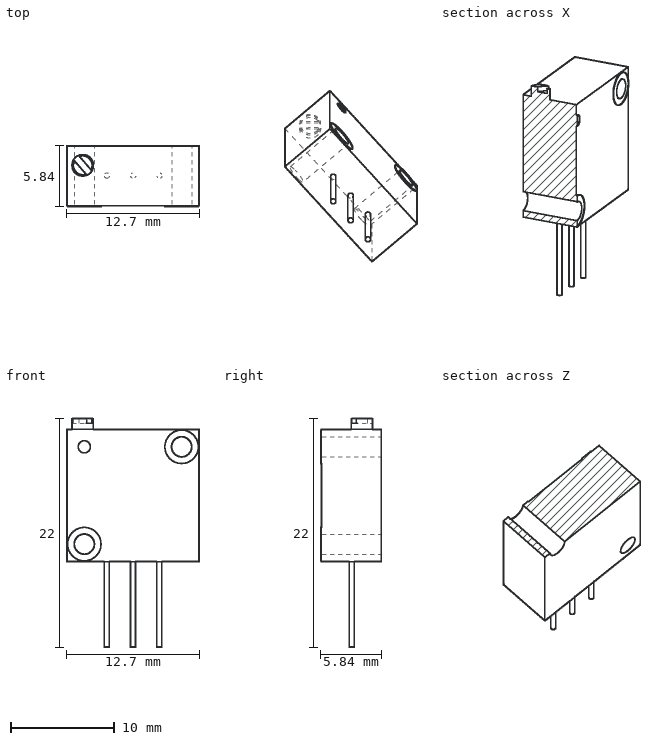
import cadquery as cq

overall_depth = 5.84
overall_height = 22.02

boss_height = 0.07
ring_diameter = 3.21
mark_diameter = 1.17

body_side = 12.7
body_depth = overall_depth - boss_height

mount_inset = 1.67
mount_hole_diameter = 1.92

pin_diameter = 0.5
pin_length = 8.24
pin_pitch = 2.53
pin_count = 3
pin_from_back = 2.85

screw_diameter = 2.07
screw_height = overall_height - body_side - pin_length
screw_from_left = 1.52
screw_from_back = 1.87
screw_chamfer_width = 0.13
screw_chamfer_height = 0.07
slot_width = 0.64
slot_depth = 0.48
slot_angle = -49

left = -body_side / 2
front = -body_depth / 2
back = body_depth / 2
bottom = -body_side / 2
top = body_side / 2
mount_offset = body_side / 2 - mount_inset
mount_points = [(-mount_offset, -mount_offset), (mount_offset, mount_offset)]
mark_points = [(-mount_offset, mount_offset)]


def front_cylinders(points, diameter, length):
    """Cylinders at (x, z) points, running toward +Y from the outer face of the bosses."""
    plane = cq.Workplane("XZ", origin=(0, front - boss_height, 0))
    return plane.pushPoints(points).circle(diameter / 2).extrude(-length)


def make_pins():
    """Row of round pins hanging from the bottom face."""
    plane = cq.Workplane("XY", origin=(0, back - pin_from_back, bottom))
    return plane.rarray(pin_pitch, 0.22, pin_count, 1).circle(pin_diameter / 2).extrude(-pin_length)


def make_screw():
    """Chamfered screw head with a slanted slot across its top."""
    head = cq.Workplane("XY").circle(screw_diameter / 2).extrude(screw_height)
    head = head.faces(">Z").chamfer(screw_chamfer_height, screw_chamfer_width)
    slot = (
        cq.Workplane("XY", origin=(0, 0, screw_height - slot_depth))
        .rect(2 * screw_diameter, slot_width)
        .extrude(slot_depth)
        .rotate((0, 0, 0), (0, 0, 1), slot_angle)
    )
    return head.cut(slot).translate((left + screw_from_left, back - screw_from_back, top))


body = cq.Workplane("XY").box(body_side, body_depth, body_side)
rings = front_cylinders(mount_points, ring_diameter, boss_height)
mark = front_cylinders(mark_points, mark_diameter, boss_height)
mount_holes = front_cylinders(mount_points, mount_hole_diameter, overall_depth)

result = body.union(rings).union(mark).union(make_pins()).union(make_screw()).cut(mount_holes)